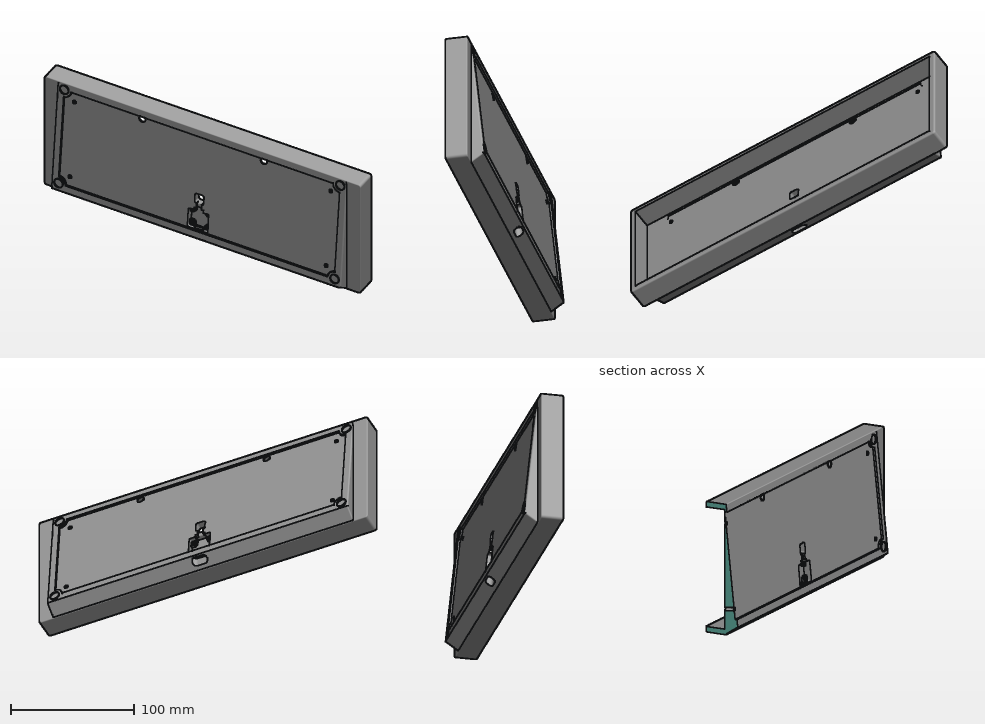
import cadquery as cq
import math

LENGTH = 295.7
HEIGHT = 110.3
DEPTH = 29.5
BODY_DEPTH = 19.0
CORNER_RADIUS = 2.5
RIM_RADIUS = 1.5
BACK_EDGE_RADIUS = 1.0
WALL = 5.0
FLOOR = 1.8

TILT = 6.0
WEDGE_LENGTH = 270.3
WEDGE_DEPTH = DEPTH - BODY_DEPTH
SLOPE_HEIGHT = 7.0
SLOPE_MARGIN = 1.0
WEDGE_EDGE_RADIUS = 1.2

RECESS_LENGTH = 257.9
RECESS_TOP = 48.8
RECESS_BOTTOM = -40.8
RECESS_DEPTH = 1.8
FOOT_DIAMETER = 8.0
FOOT_DEPTH = 1.0
FOOT_RIM_DIAMETER = 13.0

SCREW_X = 119.8
SCREW_TOP = 39.3
SCREW_BOTTOM = -32.2
SCREW_DIAMETER = 2.45
SCREW_HEAD_DIAMETER = 3.0
SCREW_HEAD_DEPTH = 1.2
VENT_X = 56.8
VENT_Z = 45.8
VENT_DIAMETER = 6.0

POCKET_WIDTH = 19.0
POCKET_TOP = -22.8
POCKET_BOTTOM = -40.2
POCKET_DEPTH = 6.2
POCKET_RADIUS = 1.2
BAY_WIDTH = 8.5
BAY_HEIGHT = 2.5
PAD_SIZE = 4.7
PAD_CHAMFER = 1.8
PAD_HEIGHT = 2.5
PAD_HOLE_INSET = 2.7
PAD_HOLE_DIAMETER = 1.57
PAD_SINK_DIAMETER = 3.0
PAD_SINK_DEPTH = 1.0

CABLE_WIDTH = 8.3
CABLE_TOP = -6.5
CABLE_BOTTOM = -15.7
CABLE_RADIUS = 1.8
NECK_WIDTH = 5.0
SADDLE_DEPTH = 1.8
SADDLE_RADIUS = 1.5

SOCKET_WIDTH = 13.3
SOCKET_THICKNESS = 6.5
PORT_WIDTH = 8.3
PORT_THICKNESS = 3.3
PORT_WALL = 2.5

SIDES = (-1, 1)

tilt_slope = math.tan(math.radians(TILT))
bottom_z = -HEIGHT / 2
slope_foot_z = bottom_z + SLOPE_MARGIN
slope_top_z = slope_foot_z + SLOPE_HEIGHT
wedge_top_z = slope_top_z + WEDGE_DEPTH / tilt_slope
through = DEPTH
pocket_floor = RECESS_DEPTH + POCKET_DEPTH
bay_top = POCKET_TOP + BAY_HEIGHT

tilted_face = cq.Workplane("XZ").transformed(
    rotate=(-TILT, 0, 0), offset=(0, 0, wedge_top_z * tilt_slope)
)
square_to_face = cq.selectors.ParallelDirSelector(tilted_face.plane.zDir)


def block(width, bottom, top, depth):
    """Block centred on X, sunk square into the tilted face."""
    return tilted_face.center(0, (bottom + top) / 2).rect(width, top - bottom).extrude(-depth)


def cylinders(points, diameter, depth):
    """Cylinders sunk square into the tilted face."""
    return tilted_face.pushPoints(points).circle(diameter / 2).extrude(-depth)


def make_body():
    body = cq.Workplane("XZ").rect(LENGTH, HEIGHT).extrude(-BODY_DEPTH)
    body = body.edges("|Y").fillet(CORNER_RADIUS)
    body = body.faces(">Y").edges().fillet(RIM_RADIUS)
    return body.faces("<Y").edges().fillet(BACK_EDGE_RADIUS)


def make_wedge():
    profile = [(0, wedge_top_z), (-WEDGE_DEPTH, slope_top_z), (0, slope_foot_z)]
    wedge = cq.Workplane("YZ").polyline(profile).close().extrude(WEDGE_LENGTH / 2, both=True)
    return wedge.faces("<X or >X").edges("not >Y").fillet(WEDGE_EDGE_RADIUS)


def make_cavity():
    cavity = cq.Workplane("XZ", origin=(0, FLOOR, 0)).rect(LENGTH - 2 * WALL, HEIGHT - 2 * WALL)
    return cavity.extrude(-BODY_DEPTH)


def make_recess():
    recess = block(RECESS_LENGTH, RECESS_BOTTOM, RECESS_TOP, RECESS_DEPTH)
    recess = recess.cut(cylinders(feet, FOOT_RIM_DIAMETER, RECESS_DEPTH))
    return recess.union(cylinders(feet, FOOT_DIAMETER, FOOT_DEPTH))


def make_screw_holes():
    screws = [(side * SCREW_X, y) for side in SIDES for y in (SCREW_BOTTOM, SCREW_TOP)]
    heads = cylinders(screws, SCREW_HEAD_DIAMETER, RECESS_DEPTH + SCREW_HEAD_DEPTH)
    return cylinders(screws, SCREW_DIAMETER, through).union(heads)


def make_vents():
    return cylinders([(side * VENT_X, VENT_Z) for side in SIDES], VENT_DIAMETER, through)


def make_pad(side, end):
    """Chamfered pad with a counterbored hole in one corner of the pocket."""
    pocket_centre = (POCKET_TOP + POCKET_BOTTOM) / 2
    corner_x = POCKET_WIDTH / 2
    corner_y = (POCKET_TOP - POCKET_BOTTOM) / 2

    def from_corner(inset_x, inset_y):
        return side * (corner_x - inset_x), pocket_centre + end * (corner_y - inset_y)

    outline = [
        from_corner(0, 0),
        from_corner(PAD_SIZE, 0),
        from_corner(PAD_SIZE, PAD_SIZE - PAD_CHAMFER),
        from_corner(PAD_SIZE - PAD_CHAMFER, PAD_SIZE),
        from_corner(0, PAD_SIZE),
    ]
    hole = [from_corner(PAD_HOLE_INSET, PAD_HOLE_INSET)]
    pad = tilted_face.workplane(offset=-pocket_floor).polyline(outline).close().extrude(PAD_HEIGHT)
    pad = pad.cut(cylinders(hole, PAD_HOLE_DIAMETER, pocket_floor))
    return pad.cut(cylinders(hole, PAD_SINK_DIAMETER, pocket_floor - PAD_HEIGHT + PAD_SINK_DEPTH))


def make_pocket():
    pocket = block(POCKET_WIDTH, POCKET_BOTTOM, POCKET_TOP, pocket_floor)
    pocket = pocket.edges(square_to_face).fillet(POCKET_RADIUS)
    pocket = pocket.union(block(BAY_WIDTH, POCKET_TOP - POCKET_RADIUS, bay_top, pocket_floor))
    for side in SIDES:
        for end in SIDES:
            pocket = pocket.cut(make_pad(side, end))
    return pocket


def make_cable_opening():
    opening = block(CABLE_WIDTH, CABLE_BOTTOM, CABLE_TOP, through)
    opening = opening.edges(square_to_face).fillet(CABLE_RADIUS)
    saddle_top = RECESS_DEPTH + SADDLE_DEPTH
    neck = block(NECK_WIDTH, bay_top, CABLE_BOTTOM, saddle_top + SADDLE_RADIUS)
    saddle = (
        tilted_face.workplane(offset=-through)
        .center(0, (bay_top + CABLE_BOTTOM) / 2)
        .rect(NECK_WIDTH, CABLE_BOTTOM - bay_top)
        .extrude(through - saddle_top)
    )
    saddle_face = saddle.faces(cq.selectors.DirectionMinMaxSelector(tilted_face.plane.zDir))
    return opening.union(neck.cut(saddle_face.edges("|X").fillet(SADDLE_RADIUS)))


def slot_up_the_face(width, thickness, top):
    """Round-ended slot running from beyond the slope up to a height on the face."""
    centre_depth = pocket_floor - SOCKET_THICKNESS / 2
    start = tilted_face.transformed(rotate=(-90, 0, 0), offset=(0, top, -centre_depth))
    return start.slot2D(width, thickness).extrude(-HEIGHT / 4)


def make_plug_opening():
    socket = slot_up_the_face(SOCKET_WIDTH, SOCKET_THICKNESS, POCKET_BOTTOM - PORT_WALL)
    port = slot_up_the_face(PORT_WIDTH, PORT_THICKNESS, POCKET_BOTTOM + POCKET_RADIUS)
    return socket.union(port)


feet = [(side * RECESS_LENGTH / 2, y) for side in SIDES for y in (RECESS_BOTTOM, RECESS_TOP)]

result = make_body().union(make_wedge())
cutters = (
    make_cavity,
    make_recess,
    make_screw_holes,
    make_vents,
    make_pocket,
    make_cable_opening,
    make_plug_opening,
)
for make_cutter in cutters:
    result = result.cut(make_cutter())